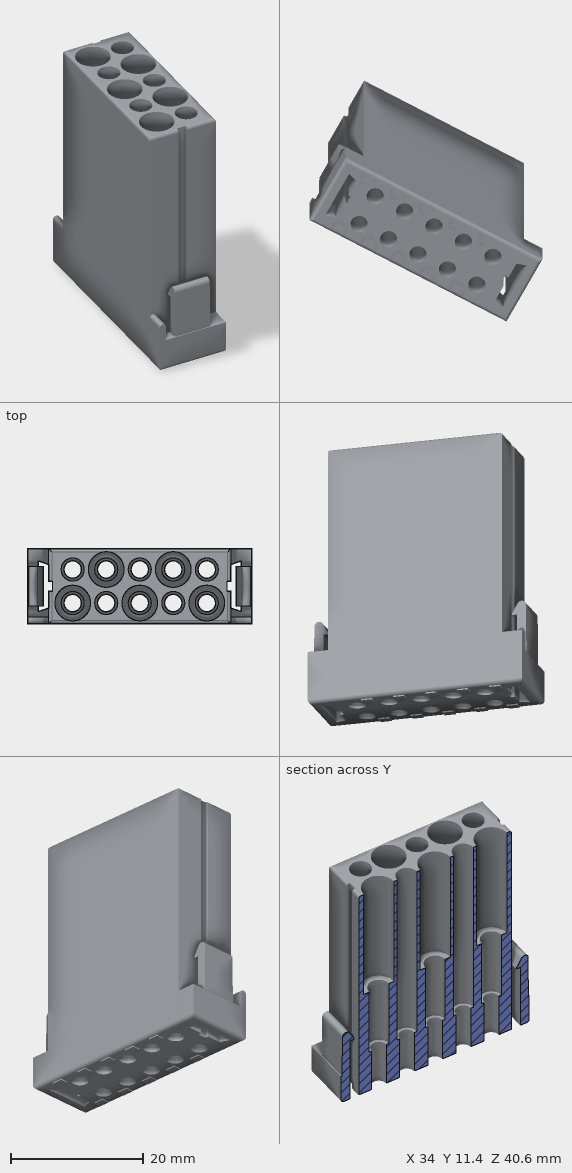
import cadquery as cq
import math

total_height = 40.6
total_width = 34.0
depth = 11.4
underside = 0.2
half_width = total_width / 2
half_depth = depth / 2

body_width = 27.6
body_half = body_width / 2
top_fillet = 0.5
bottom_fillet = 0.55

wing_top = 5.6
wing_back_setback = 0.02
lip_top = 8.6
lip_thickness = 1.05

columns = 5
pitch = 5.08
through_diameter = 2.6
cavity_diameter = 3.5
cavity_depth = 32.5
entry_diameter = 5.4
entry_depth = 20.3

groove_width = 1.5
groove_depth = 0.55

arm_outer = 16.9
arm_outer_top = 16.75
arm_inner = 15.35
arm_width = 6.0
arm_top = 14.13
tip_radius = 0.7
hook_tip = 14.58
hook_underside = 11.98
hook_slope = math.radians(60)
window_outer_half = 3.8
window_inner_half = 3.3

pad_length = 1.75
pad_width = 1.3
pad_offset = 2.27
pad_row_y = 4.45


def box(x_min, x_max, y_min, y_max, z_min, z_max):
    """Axis-aligned block between two opposite corners."""
    size = (x_max - x_min, y_max - y_min, z_max - z_min)
    return cq.Workplane("XY").box(*size, centered=False).translate((x_min, y_min, z_min))


def make_shell():
    """Housing and wings, with the outer edges softened at top and bottom."""
    body = box(-body_half, body_half, -half_depth, half_depth, underside, total_height)
    body = body.faces(">Z").edges().fillet(top_fillet)
    wings = box(-half_width, half_width, -half_depth, half_depth - wing_back_setback, underside, wing_top)
    lip_back = lip_thickness - half_depth
    shoulder = lip_top - lip_thickness / 2
    lip = (
        cq.Workplane("YZ")
        .moveTo(-half_depth, underside)
        .lineTo(-half_depth, shoulder)
        .threePointArc((lip_thickness / 2 - half_depth, lip_top), (lip_back, shoulder))
        .lineTo(lip_back, underside)
        .close()
        .extrude(half_width, both=True)
    )
    base = wings.union(lip)
    base = base.faces("<Z").edges().fillet(bottom_fillet)
    body = body.faces("<Z").edges("|X").fillet(bottom_fillet)
    return body.union(base)


def make_latch():
    """Latch arm of the +X wing, hooked toward the housing."""
    tip_x = arm_outer_top - tip_radius
    tip_z = arm_top - tip_radius
    slope_x = tip_x - tip_radius * math.sin(hook_slope)
    slope_z = tip_z + tip_radius * math.cos(hook_slope)
    nose_z = slope_z - (slope_x - hook_tip) * math.tan(hook_slope)
    root_z = underside + bottom_fillet
    profile = (
        cq.Workplane("XZ")
        .moveTo(arm_inner, root_z)
        .lineTo(arm_outer, root_z)
        .lineTo(arm_outer_top, tip_z)
        .threePointArc((tip_x, arm_top), (slope_x, slope_z))
        .lineTo(hook_tip, nose_z)
        .lineTo(hook_tip, hook_underside)
        .lineTo(arm_inner, hook_underside)
        .close()
    )
    return profile.extrude(arm_width / 2, both=True)


def make_window():
    """Tapered opening through the +X wing, between latch arm and housing."""
    outline = [
        (arm_inner, -window_outer_half),
        (arm_inner, window_outer_half),
        (body_half, window_inner_half),
        (body_half, -window_inner_half),
    ]
    return cq.Workplane("XY").polyline(outline).close().extrude(wing_top)


def bore(points, diameter, bore_depth):
    """Round holes sunk from the top face."""
    plane = cq.Workplane("XY").workplane(offset=total_height)
    return plane.pushPoints(points).circle(diameter / 2).extrude(-bore_depth)


column_x = [(i - (columns - 1) / 2) * pitch for i in range(columns)]
front_row = [(x, -pitch / 2) for x in column_x]
back_row = [(x, pitch / 2) for x in column_x]
wide_entries = front_row[0::2] + back_row[1::2]

result = make_shell()

for side in (1, -1):
    latch = make_latch()
    window = make_window()
    groove = box(body_half - groove_depth, body_half, -groove_width / 2, groove_width / 2, 0, total_height)
    if side < 0:
        latch, window, groove = (shape.mirror("YZ") for shape in (latch, window, groove))
    result = result.cut(window).cut(groove).union(latch)

result = result.cut(bore(front_row + back_row, through_diameter, total_height))
result = result.cut(bore(front_row + back_row, cavity_diameter, cavity_depth))
result = result.cut(bore(wide_entries, entry_diameter, entry_depth))

for x in column_x:
    for y in (-pad_row_y, pad_row_y):
        x_min = x + pad_offset - pad_length / 2
        y_min = y - pad_width / 2
        pad = box(x_min, x_min + pad_length, y_min, y_min + pad_width, 0, 2 * underside)
        result = result.union(pad)